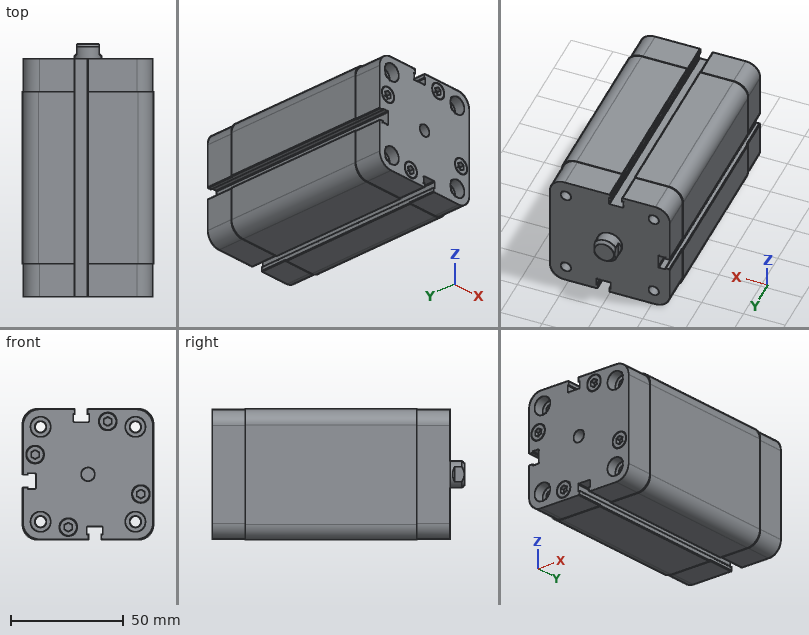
import cadquery as cq
import math


overall_length = 112
body_width = 58.1
cap_step = 0.3
cap_width = body_width - 2 * cap_step
cap_length = 14.7
corner_radius = 7.0

rod_length = 6.6
rod_diameter = 12.0
rod_chamfer = 1.3
rod_across_flats = 10.0
rod_flat_length = 4.5
rod_flat_depth = (rod_diameter - rod_across_flats) / 2

housing_length = overall_length - rod_length
body_length = housing_length - 2 * cap_length

slot_offset = 3.0
slot_mouth_width = 5.6
slot_width = 7.0
slot_lip = 2.5
slot_depth = 5.9
slot_chamfer = 0.3
cut_overrun = 1.1
slot_angles = (0, -90, 180)

mount_spacing = 42.0
mount_hole_diameter = 4.9
mount_bore_diameter = 9
mount_bore_depth = 5.5

center_hole_diameter = 6.0
center_hole_depth = cap_length

screw_side_offset = 8.7
screw_height = 23.4
screw_bore_diameter = 8.0
screw_head_diameter = 7.5
screw_head_depth = 4.0
screw_angles = (0, 90, 180, 270)
socket_across_flats = 3.5
socket_depth = 2.2
socket_across_corners = socket_across_flats / math.cos(math.pi / 6)


def plane_at(y):
    """Workplane across the axis at the given Y; its normal is -Y, so extrusions toward +Y are negative."""
    return cq.Workplane("XZ", origin=(0, y, 0))


def turn(shape, angle):
    """Rotate a shape about the cylinder axis."""
    return shape.rotate((0, 0, 0), (0, 1, 0), angle)


def slot_cutter(width, y_start, length):
    """T-shaped sensor slot below the top side of a housing section of the given width."""
    surface = width / 2
    floor = body_width / 2 - slot_depth
    shoulder = body_width / 2 - slot_lip
    half_mouth = slot_mouth_width / 2
    half_slot = slot_width / 2
    right_side = [
        (half_mouth + slot_chamfer, surface + cut_overrun),
        (half_mouth + slot_chamfer, surface),
        (half_mouth, surface - slot_chamfer),
        (half_mouth, shoulder),
        (half_slot, shoulder),
        (half_slot, floor + slot_chamfer),
        (half_slot - slot_chamfer, floor),
    ]
    left_side = [(-x, z) for x, z in reversed(right_side)]
    outline = [(x - slot_offset, z) for x, z in right_side + left_side]
    return plane_at(y_start).polyline(outline).close().extrude(-length)


def housing_section(width, y_start, length):
    """Rounded square block with its sensor slots."""
    section = plane_at(y_start).rect(width, width).extrude(-length)
    section = section.edges("|Y").fillet(corner_radius)
    slot = slot_cutter(width, y_start, length)
    for angle in slot_angles:
        section = section.cut(turn(slot, angle))
    return section


def piston_rod():
    """Rod end with a chamfered tip and two wrench flats that run out at 45 degrees."""
    rod = plane_at(housing_length).circle(rod_diameter / 2).extrude(-rod_length)
    rod = rod.faces(">Y").chamfer(rod_chamfer)
    flat_start = overall_length - rod_flat_length
    flat_outline = [
        (rod_across_flats / 2, overall_length),
        (rod_across_flats / 2, flat_start),
        (rod_diameter / 2, flat_start - rod_flat_depth),
        (rod_diameter / 2, overall_length),
    ]
    flat = cq.Workplane("XY").polyline(flat_outline).close().extrude(rod_diameter / 2, both=True)
    return rod.cut(flat).cut(turn(flat, 180))


def mounting_holes():
    """Four through holes, counterbored from the front."""
    corners = plane_at(0).rect(mount_spacing, mount_spacing, forConstruction=True).vertices()
    holes = corners.circle(mount_hole_diameter / 2).extrude(-housing_length)
    bores = corners.circle(mount_bore_diameter / 2).extrude(-mount_bore_depth)
    return holes.union(bores)


def center_hole():
    """Blind hole on the axis in the front face."""
    return plane_at(0).circle(center_hole_diameter / 2).extrude(-center_hole_depth)


def screw_cutter(angle):
    """Clearance ring around one cap screw head, and the upright hexagon socket in it."""
    radius = math.hypot(screw_side_offset, screw_height)
    direction = math.atan2(screw_height, screw_side_offset) + math.radians(angle)
    center = plane_at(0).center(radius * math.cos(direction), radius * math.sin(direction))
    ring = center.circle(screw_bore_diameter / 2).circle(screw_head_diameter / 2).extrude(-screw_head_depth)
    socket = center.transformed(rotate=(0, 0, 90)).polygon(6, socket_across_corners).extrude(-socket_depth)
    return ring.union(socket)


front_cap = housing_section(cap_width, 0, cap_length)
body = housing_section(body_width, cap_length, body_length)
rear_cap = housing_section(cap_width, cap_length + body_length, cap_length)

result = front_cap.union(body).union(rear_cap).union(piston_rod())
result = result.cut(mounting_holes())
result = result.cut(center_hole())
for screw_angle in screw_angles:
    result = result.cut(screw_cutter(screw_angle))